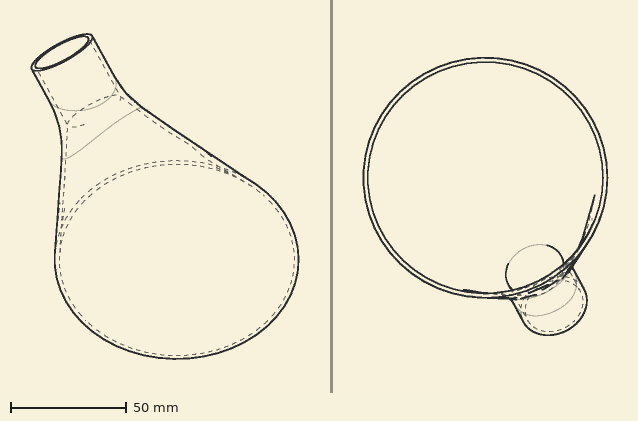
import cadquery as cq
import math

base_diameter = 106.0
tube_outer_diameter = 30.0
wall = 2.0
tube_length = 30.0
tube_tilt = 45
overall_length = 139.6
overall_height = 84.9
neck_fillet = 50.0

base_radius = base_diameter / 2
tube_radius = tube_outer_diameter / 2
tilt_sin = math.sin(math.radians(tube_tilt))
tilt_cos = math.cos(math.radians(tube_tilt))
mouth_x = base_radius - overall_length + tube_radius * tilt_cos
mouth_z = overall_height - tube_radius * tilt_sin
neck_x = mouth_x + tube_length * tilt_sin
neck_z = mouth_z - tube_length * tilt_cos

neck_plane = cq.Plane(
    origin=(neck_x, 0, neck_z),
    xDir=(tilt_cos, 0, tilt_sin),
    normal=(-tilt_sin, 0, tilt_cos),
)


def funnel(inset):
    """Tube and ruled hood, with both end circles reduced by the inset."""
    base_circle = cq.Wire.makeCircle(base_radius - inset, cq.Vector(0, 0, 0), cq.Vector(0, 0, 1))
    neck_circle = cq.Workplane(neck_plane).circle(tube_radius - inset).wires().val()
    hood = cq.Workplane(cq.Solid.makeLoft([base_circle, neck_circle], True))
    tube = cq.Workplane(neck_plane).circle(tube_radius - inset).extrude(tube_length)
    return hood.union(tube)


def neck_edge(body):
    """The circular edge where the tube and the hood meet."""
    return body.edges(cq.selectors.NearestToPointSelector((neck_x, 0, neck_z)))


outside = neck_edge(funnel(0)).fillet(neck_fillet)

result = outside.cut(funnel(wall))